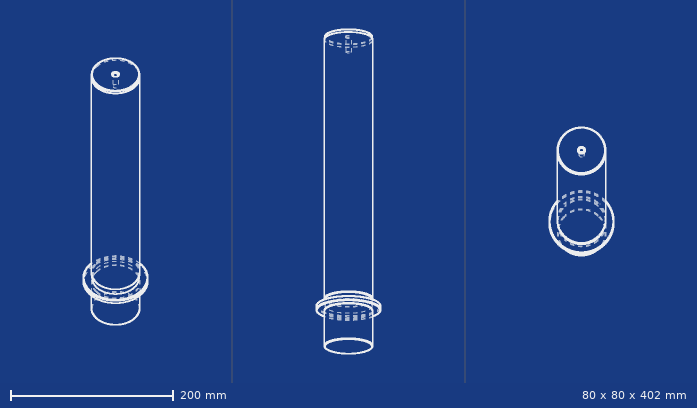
import cadquery as cq

TOTAL_LENGTH = 402.0
POST_DIAMETER = 60.0
FLANGE_DIAMETER = 80.0

FLANGE_BOTTOM = 47.0
FLANGE_THICKNESS = 6.0
RELIEF_HEIGHT = 9.0
FLANGE_TOP = FLANGE_BOTTOM + FLANGE_THICKNESS
RELIEF_TOP = FLANGE_TOP + RELIEF_HEIGHT

RELIEF_DEPTH = 1.0
UNDERCUT_WIDTH = 1.0
UNDERCUT_DEPTH = 0.5

BOTTOM_CHAMFER = 1.0
FLANGE_CHAMFER = 1.0
TOP_CHAMFER = 0.75

LEAD_IN_LENGTH = 4.0
LEAD_IN_DEPTH = 0.5

HOLE_DIAMETER = 6.5
HOLE_DEPTH = 20.0
COUNTERSINK_DIAMETER = 9.0
COUNTERSINK_ANGLE = 90.0


def make_post():
    """Turned post: spigot, flange, relief neck and guide section about Z."""
    post_radius = POST_DIAMETER / 2
    undercut_radius = post_radius - UNDERCUT_DEPTH
    relief_radius = post_radius - RELIEF_DEPTH
    flange_radius = FLANGE_DIAMETER / 2
    lead_in_radius = post_radius - LEAD_IN_DEPTH
    lead_in_bottom = TOTAL_LENGTH - LEAD_IN_LENGTH
    half_profile = [
        (0, 0),
        (post_radius - BOTTOM_CHAMFER, 0),
        (post_radius, BOTTOM_CHAMFER),
        (post_radius, FLANGE_BOTTOM - UNDERCUT_WIDTH),
        (undercut_radius, FLANGE_BOTTOM - UNDERCUT_WIDTH),
        (undercut_radius, FLANGE_BOTTOM),
        (flange_radius - FLANGE_CHAMFER, FLANGE_BOTTOM),
        (flange_radius, FLANGE_BOTTOM + FLANGE_CHAMFER),
        (flange_radius, FLANGE_TOP - FLANGE_CHAMFER),
        (flange_radius - FLANGE_CHAMFER, FLANGE_TOP),
        (relief_radius, FLANGE_TOP),
        (relief_radius, RELIEF_TOP - RELIEF_DEPTH),
        (post_radius, RELIEF_TOP),
        (post_radius, lead_in_bottom),
        (lead_in_radius, lead_in_bottom),
        (lead_in_radius, TOTAL_LENGTH - TOP_CHAMFER),
        (lead_in_radius - TOP_CHAMFER, TOTAL_LENGTH),
        (0, TOTAL_LENGTH),
    ]
    return cq.Workplane("XZ").polyline(half_profile).close().revolve(360, (0, 0), (0, 1))


def drill_top_hole(post):
    """Countersunk blind hole on the axis, entering from the top face."""
    top_face = post.faces(">Z").workplane()
    return top_face.cskHole(HOLE_DIAMETER, COUNTERSINK_DIAMETER, COUNTERSINK_ANGLE, HOLE_DEPTH)


result = drill_top_hole(make_post())